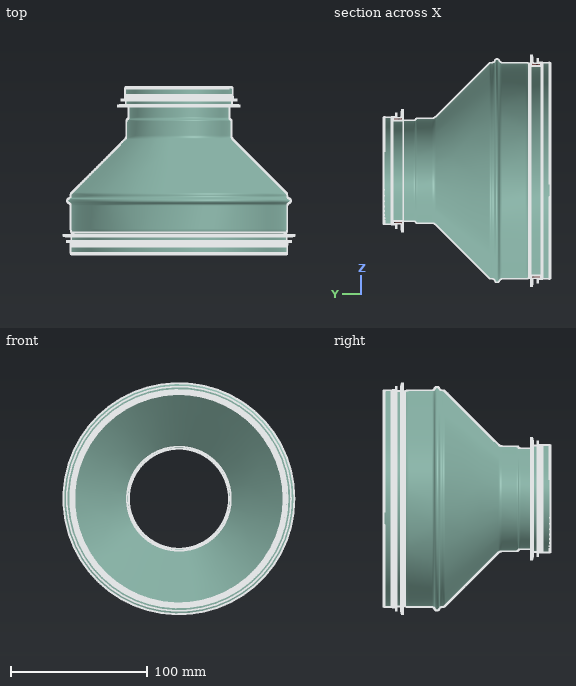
import cadquery as cq
import math

length = 123.0
wall = 0.5

large_radius = 159.0 / 2
large_groove_radius = 154.2 / 2
bead_radius = 164.3 / 2
collar_radius = 77.2 / 2
small_groove_radius = 74.2 / 2
small_radius = 79.1 / 2

rim_round = 1.4
bore_depth = 0.8
rim_length = 6.3
rim_taper = 1.0
seal_start = rim_length + rim_taper
large_groove_end = 14.7
large_shoulder_start = 16.0
large_shoulder_end = 18.6
large_shoulder_drop = 0.7
small_groove_end = 22.4
small_step_end = 25.0

bead_center = 39.5
bead_half_width = 3.5
cone_base = 43.9
cone_base_bend = 2.2
cone_neck_bend = 3.5
cone_angle = math.radians(45)

foot_end = 8.1
lip_start = 9.1
lip_end = 10.2
flange_start = 13.0
flange_end = 14.7
flange_taper = 0.7
foot_height = 0.7


def step(profile, start, end):
    """Join two (radius, y) points lying on cylinders with two equal tangent arcs."""
    middle = ((start[0] + end[0]) / 2, (start[1] + end[1]) / 2)
    return profile.tangentArcPoint(middle, relative=False).tangentArcPoint(end, relative=False)


def arc_middle_before_cylinder(start, end):
    """Middle of the arc from start to end that meets the cylinder through end tangentially."""
    drop = end[0] - start[0]
    run = end[1] - start[1]
    arc_radius = (drop**2 + run**2) / (2 * drop)
    half_angle = math.asin(run / arc_radius) / 2
    return (
        end[0] - arc_radius * (1 - math.cos(half_angle)),
        end[1] - arc_radius * math.sin(half_angle),
    )


def revolve_about_y(outline):
    return cq.Workplane("XY").add(outline).toPending().revolve(360, (0, 0, 0), (0, 1, 0))


def cylinder_along_y(radius, start, height):
    return cq.Workplane(cq.Solid.makeCylinder(radius, height, cq.Vector(0, start, 0), cq.Vector(0, 1, 0)))


def make_reducer():
    """Thin-walled reducer: a solid of revolution hollowed through both ends."""
    bend_run = math.sin(cone_angle)
    bend_rise = 1 - math.cos(cone_angle)
    cone_start = (
        large_radius - cone_base_bend * bend_rise,
        cone_base + cone_base_bend * bend_run,
    )
    cone_end_radius = collar_radius + cone_neck_bend * bend_rise
    cone_height = (cone_start[0] - cone_end_radius) / math.tan(cone_angle)
    cone_end = (cone_end_radius, cone_start[1] + cone_height)
    collar_start = cone_end[1] + cone_neck_bend * bend_run

    shoulder_edge = (large_radius - large_shoulder_drop, large_shoulder_start)
    shoulder_end = (large_radius, large_shoulder_end)
    bead_start = (large_radius, bead_center - bead_half_width)
    bead_flank_radius = (large_radius + bead_radius) / 2
    bead_flank_start = (bead_flank_radius, bead_center - bead_half_width / 2)
    bead_flank_end = (bead_flank_radius, bead_center + bead_half_width / 2)
    bead_end = (large_radius, bead_center + bead_half_width)
    collar_end = (collar_radius, length - small_step_end)
    small_groove = (small_groove_radius, length - small_groove_end)

    profile = (
        cq.Workplane("XY")
        .lineTo(large_radius - rim_round, 0)
        .tangentArcPoint((large_radius, rim_round), relative=False)
        .lineTo(large_radius, rim_length)
        .lineTo(large_groove_radius, seal_start)
        .lineTo(large_groove_radius, large_groove_end)
        .lineTo(*shoulder_edge)
        .threePointArc(arc_middle_before_cylinder(shoulder_edge, shoulder_end), shoulder_end)
        .lineTo(*bead_start)
    )

    profile = (
        profile.tangentArcPoint(bead_flank_start, relative=False)
        .threePointArc((bead_radius, bead_center), bead_flank_end)
        .tangentArcPoint(bead_end, relative=False)
        .lineTo(large_radius, cone_base)
        .tangentArcPoint(cone_start, relative=False)
        .lineTo(*cone_end)
        .tangentArcPoint((collar_radius, collar_start), relative=False)
        .lineTo(*collar_end)
    )

    profile = step(profile, collar_end, small_groove)
    profile = (
        profile.lineTo(small_groove_radius, length - seal_start)
        .lineTo(small_radius, length - rim_length)
        .lineTo(small_radius, length - rim_round)
        .tangentArcPoint((small_radius - rim_round, length), relative=False)
        .lineTo(0, length)
    )
    outline = profile.close().val()
    body = revolve_about_y(outline)

    cavity = revolve_about_y(outline.offset2D(-wall)[0])
    large_opening = cylinder_along_y(large_radius - rim_round, 0, bore_depth)
    small_opening = cylinder_along_y(small_radius - rim_round, length - bore_depth, bore_depth)
    core = cylinder_along_y(small_groove_radius - wall, 0, length)
    return body.cut(cavity).cut(large_opening).cut(small_opening).cut(core)


def make_seal(groove_radius, base_radius, lip_radius, flange_radius, pipe_end, inward):
    """Seal ring with a foot, a thin lip and a flange; inward is the Y sign leading into the pipe."""
    foot_radius = base_radius + foot_height
    section = [
        (groove_radius, seal_start),
        (foot_radius, seal_start),
        (foot_radius, foot_end),
        (base_radius, foot_end),
        (base_radius, lip_start),
        (lip_radius, lip_start),
        (lip_radius, lip_end),
        (base_radius, lip_end),
        (base_radius, flange_start),
        (lip_radius, flange_start),
        (flange_radius, flange_start + flange_taper),
        (flange_radius, flange_end),
        (groove_radius, flange_end),
    ]
    points = [(radius, pipe_end + inward * depth) for radius, depth in section]
    return revolve_about_y(cq.Workplane("XY").polyline(points).close().val())


reducer = make_reducer()
large_seal = make_seal(large_groove_radius, 158.0 / 2, 164.3 / 2, 169.4 / 2, 0, 1)
small_seal = make_seal(small_groove_radius, 78.1 / 2, 84.5 / 2, 89.5 / 2, length, -1)

result = cq.Compound.makeCompound([reducer.val(), large_seal.val(), small_seal.val()])